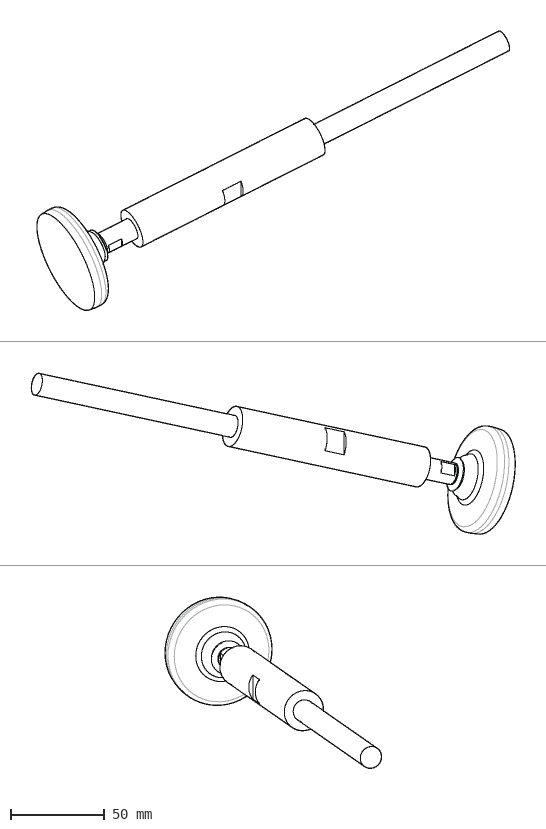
import cadquery as cq

OVERALL_LENGTH = 277.0

ROD_DIAMETER = 12.0
ROD_FLAT_START = 23.8
ROD_FLAT_LENGTH = 8.3
ROD_ACROSS_FLATS = 10.0
NECK_DIAMETER = 10.5
NECK_END = 22.0
TAPER_LENGTH = 0.8

SLEEVE_DIAMETER = 22.0
SLEEVE_START = 41.8
SLEEVE_LENGTH = 115.2
SLEEVE_FLAT_LENGTH = 11.5
SLEEVE_ACROSS_FLATS = 17.5

FOOT_RADIUS = 58.0 / 2
SOLE_RADIUS = 28.5
PAD_HEIGHT = 4.2
SHOULDER_HEIGHT = 9.5
SHOULDER_FILLET = 3.0
CONE_BASE_HEIGHT = 11.5
CONE_BASE_RADIUS = 15.0
DOME_BASE_HEIGHT = 13.5
DOME_BASE_RADIUS = 12.5
DOME_MIDDLE_HEIGHT = 16.5
DOME_MIDDLE_RADIUS = 11.0
DOME_TOP_HEIGHT = 19.7
DOME_TOP_RADIUS = 8.3
LIP_HEIGHT = 20.8
LIP_RADIUS = 9.1
COLLAR_RADIUS = 5.8
SOCKET_DEPTH = 10.8
EDGE_TOLERANCE = 0.3


def cylinder(diameter, start, length):
    """Cylinder along +Y that begins at the given Y."""
    circle = cq.Workplane("XZ", origin=(0, start, 0)).circle(diameter / 2)
    return circle.extrude(-length)


def cut_flats(body, diameter, across_flats, start, length):
    """Cut two opposite wrench flats facing -X and +X."""
    for side in (-1, 1):
        cutter = cq.Workplane("XY").box(diameter, length, 2 * diameter)
        offset = side * (across_flats + diameter) / 2
        body = body.cut(cutter.translate((offset, start + length / 2, 0)))
    return body


def make_spindle():
    """Rod through the sleeve, tapering to a neck that sits in the foot socket."""
    rod = cylinder(ROD_DIAMETER, NECK_END, OVERALL_LENGTH - NECK_END)
    rod = rod.faces("<Y").chamfer(TAPER_LENGTH, (ROD_DIAMETER - NECK_DIAMETER) / 2)
    rod = rod.union(cylinder(NECK_DIAMETER, NECK_END - SOCKET_DEPTH, SOCKET_DEPTH))
    return cut_flats(rod, ROD_DIAMETER, ROD_ACROSS_FLATS, ROD_FLAT_START, ROD_FLAT_LENGTH)


def make_sleeve():
    """Thick tube on the spindle, with wrench flats at mid-length."""
    tube = cylinder(SLEEVE_DIAMETER, SLEEVE_START, SLEEVE_LENGTH)
    tube = tube.cut(cylinder(ROD_DIAMETER, SLEEVE_START, SLEEVE_LENGTH))
    flat_start = SLEEVE_START + (SLEEVE_LENGTH - SLEEVE_FLAT_LENGTH) / 2
    return cut_flats(tube, SLEEVE_DIAMETER, SLEEVE_ACROSS_FLATS, flat_start, SLEEVE_FLAT_LENGTH)


def make_foot():
    """Round foot with a domed hub, a flared lip and a socket for the spindle."""
    profile = (
        cq.Workplane("XY")
        .lineTo(SOLE_RADIUS, 0)
        .lineTo(FOOT_RADIUS, PAD_HEIGHT)
        .lineTo(FOOT_RADIUS, SHOULDER_HEIGHT)
        .lineTo(CONE_BASE_RADIUS, CONE_BASE_HEIGHT)
        .lineTo(DOME_BASE_RADIUS, DOME_BASE_HEIGHT)
        .threePointArc((DOME_MIDDLE_RADIUS, DOME_MIDDLE_HEIGHT), (DOME_TOP_RADIUS, DOME_TOP_HEIGHT))
        .lineTo(LIP_RADIUS, LIP_HEIGHT)
        .lineTo(COLLAR_RADIUS, NECK_END)
        .lineTo(0, NECK_END)
        .close()
    )
    foot = profile.revolve(360, (0, 0, 0), (0, 1, 0))
    rim_corner = cq.selectors.BoxSelector(
        (-FOOT_RADIUS, SHOULDER_HEIGHT - EDGE_TOLERANCE, -FOOT_RADIUS),
        (FOOT_RADIUS, SHOULDER_HEIGHT + EDGE_TOLERANCE, FOOT_RADIUS),
        boundingbox=False,
    )
    foot = foot.edges(rim_corner).edges("%CIRCLE").fillet(SHOULDER_FILLET)
    return foot.cut(cylinder(NECK_DIAMETER, NECK_END - SOCKET_DEPTH, SOCKET_DEPTH))


spindle = make_spindle()
sleeve = make_sleeve()
foot = make_foot()

result = cq.Compound.makeCompound([spindle.val(), sleeve.val(), foot.val()])